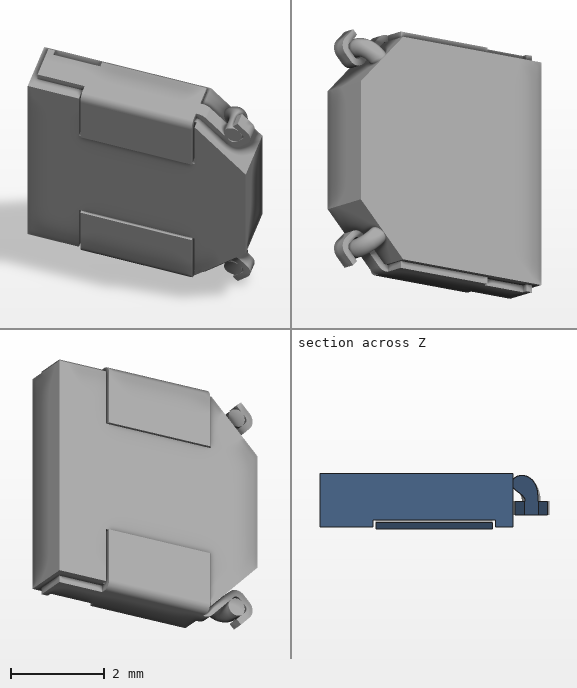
import cadquery as cq
import math

DIAGONAL = math.sqrt(0.5)

HOUSING_SIZE = 4.9
HOUSING_DEPTH = 1.15
CORNER_CUT = 1.15
POCKET_LENGTH = 2.6
POCKET_HEIGHT = 1.215
POCKET_DEPTH = 0.145

SHEET = 0.15
PAD_PROUD = 0.05
PAD_SIDE_GAP = 0.05
PAD_BOTTOM_GAP = 0.015
PLATE_INSET = 0.14
PLATE_FRONT = 0.25
PLATE_BACK = 1.005
NOTCH_INSET = 0.15
NOTCH_LENGTH = 1.055
NOTCH_DEPTH = 0.125
TAIL_WIDTH = 0.3
TAIL_BEND = 0.1
LIP_LENGTH = 0.3

WIRE_DIAMETER = 0.4
WIRE_X = 2.08

half_size = HOUSING_SIZE / 2
cut_start = half_size - CORNER_CUT
pocket_left = cut_start - POCKET_LENGTH
pad_left = pocket_left + PAD_SIDE_GAP
pad_right = cut_start - PAD_SIDE_GAP
pad_bottom = half_size - POCKET_HEIGHT + PAD_BOTTOM_GAP
sheet_top = half_size + SHEET
tail_outer_bend = TAIL_BEND + SHEET
wire_radius = WIRE_DIAMETER / 2

shoulder = (cut_start, half_size - TAIL_BEND)
shoulder_to_hook = (tail_outer_bend + TAIL_BEND) / DIAGONAL
hook_bottom = (WIRE_X, sum(shoulder) + shoulder_to_hook - WIRE_X)
wire_offset = (wire_radius - TAIL_BEND) / DIAGONAL
wire_z = hook_bottom[1] + wire_offset
hook_side = (WIRE_X + wire_offset, wire_z)


def make_housing():
    outline = [
        (-half_size, -half_size),
        (cut_start, -half_size),
        (half_size, -cut_start),
        (half_size, cut_start),
        (cut_start, half_size),
        (-half_size, half_size),
    ]
    block = cq.Workplane("XZ").polyline(outline).close().extrude(-HOUSING_DEPTH)
    pocket = cq.Workplane("XY").box(POCKET_LENGTH, POCKET_DEPTH, POCKET_HEIGHT, centered=False)
    upper_pocket = pocket.translate((pocket_left, 0, half_size - POCKET_HEIGHT))
    return block.cut(upper_pocket).cut(upper_pocket.mirror("XY"))


def make_side_plate():
    """Flat plate on the top face of the housing, notched along its back edge."""
    plate_left = PLATE_INSET - half_size
    notch_left = plate_left + NOTCH_INSET
    notch_right = notch_left + NOTCH_LENGTH
    notch_y = PLATE_BACK - NOTCH_DEPTH
    outline = [
        (plate_left, PLATE_FRONT),
        (pad_left, PLATE_FRONT),
        (pad_left, POCKET_DEPTH),
        (pad_right, POCKET_DEPTH),
        (pad_right, PLATE_BACK),
        (notch_right, PLATE_BACK),
        (notch_right, notch_y),
        (notch_left, notch_y),
        (notch_left, PLATE_BACK),
        (plate_left, PLATE_BACK),
    ]
    return cq.Workplane("XY", origin=(0, 0, half_size)).polyline(outline).close().extrude(SHEET)


def make_pad():
    """Solder pad in the pocket, with the bend that joins it to the side plate."""
    pad_front = -PAD_PROUD
    pad_back = pad_front + SHEET
    inner_bend = POCKET_DEPTH - pad_back
    outer_bend = inner_bend + SHEET
    bend_z = half_size - inner_bend
    return (
        cq.Workplane("YZ", origin=(pad_left, 0, 0))
        .moveTo(pad_front, pad_bottom)
        .lineTo(pad_back, pad_bottom)
        .lineTo(pad_back, bend_z)
        .radiusArc((POCKET_DEPTH, half_size), inner_bend)
        .lineTo(POCKET_DEPTH, sheet_top)
        .radiusArc((pad_front, bend_z), -outer_bend)
        .close()
        .extrude(pad_right - pad_left)
    )


def around(centre, radius, angle):
    """Point in XZ at a radius and an angle (degrees from +X towards +Z) around a centre."""
    turn = math.radians(angle)
    return (centre[0] + radius * math.cos(turn), centre[1] + radius * math.sin(turn))


def make_tail():
    """Strip that runs along the cut corner and hooks around the wire."""

    def lip_end(radius):
        start = around(hook_side, radius, 45)
        return (start[0] - LIP_LENGTH * DIAGONAL, start[1] + LIP_LENGTH * DIAGONAL)

    return (
        cq.Workplane("XZ", origin=(0, PLATE_FRONT, 0))
        .moveTo(pad_right, sheet_top)
        .lineTo(cut_start, sheet_top)
        .threePointArc(around(shoulder, tail_outer_bend, 67.5), around(shoulder, tail_outer_bend, 45))
        .lineTo(*around(hook_bottom, TAIL_BEND, 225))
        .threePointArc(around(hook_bottom, TAIL_BEND, 270), around(hook_bottom, TAIL_BEND, 315))
        .lineTo(*around(hook_side, TAIL_BEND, -45))
        .threePointArc(around(hook_side, TAIL_BEND, 0), around(hook_side, TAIL_BEND, 45))
        .lineTo(*lip_end(TAIL_BEND))
        .lineTo(*lip_end(tail_outer_bend))
        .lineTo(*around(hook_side, tail_outer_bend, 45))
        .threePointArc(around(hook_side, tail_outer_bend, 0), around(hook_side, tail_outer_bend, -45))
        .lineTo(*around(hook_bottom, tail_outer_bend, 315))
        .threePointArc(around(hook_bottom, tail_outer_bend, 270), around(hook_bottom, tail_outer_bend, 225))
        .lineTo(*around(shoulder, TAIL_BEND, 45))
        .threePointArc(around(shoulder, TAIL_BEND, 67.5), around(shoulder, TAIL_BEND, 90))
        .lineTo(pad_right, half_size)
        .close()
        .extrude(-TAIL_WIDTH)
    )


def make_terminal():
    return make_side_plate().union(make_pad()).union(make_tail())


def make_wire():
    """Round wire, straight through the hook and then curved to end square on the cut corner."""
    bend = (WIRE_X + wire_z - cut_start - half_size) * DIAGONAL
    front_end = (WIRE_X, PLATE_FRONT, wire_z)
    bend_plane = cq.Plane(origin=front_end, xDir=(-1, 0, -1), normal=(1, 0, -1))
    path = (
        cq.Workplane(bend_plane)
        .lineTo(0, TAIL_WIDTH)
        .radiusArc((bend, TAIL_WIDTH + bend), bend)
    )
    return cq.Workplane("XZ", origin=front_end).circle(wire_radius).sweep(path)


housing = make_housing()
upper_terminal = make_terminal()
upper_wire = make_wire()

bodies = [housing.val()]
for upper_body in (upper_terminal, upper_wire):
    bodies.append(upper_body.val())
    bodies.append(upper_body.mirror("XY").val())

result = cq.Compound.makeCompound(bodies)